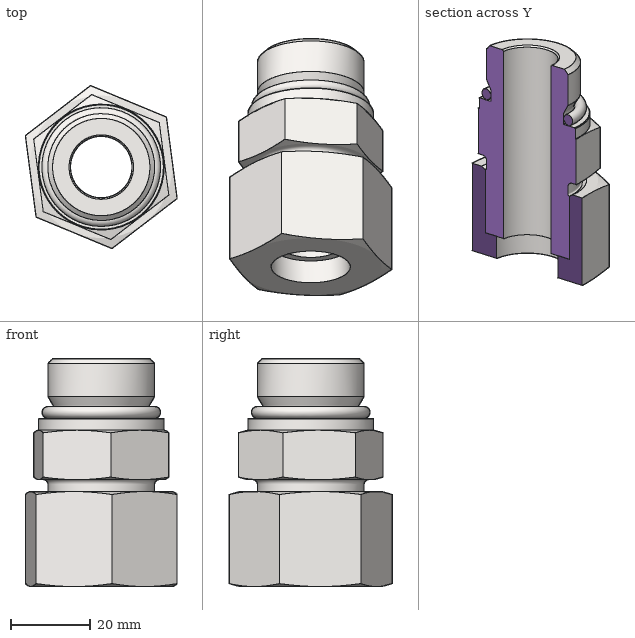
import cadquery as cq
import math

nut_height = 24.0
body_hex_bottom = 27.0
body_hex_top = 39.5
collar_top = 42.5
total_height = 57.6

nut_across_flats = 36.0
body_across_flats = 32.0
hex_corner_angle = 37.5
hex_chamfer_angle = 15.0

stud_diameter = 27.0
stud_chamfer = 1.2
stud_length = 9.6
groove_diameter = 24.0
groove_fillet = 1.0
runout_angle = 30.0
collar_diameter = 31.8
collar_chamfer = 0.2

neck_diameter = 27.0
neck_fillet = 1.2
bore_diameter = 15.5
bore_chamfer = 0.4

o_ring_section = 3.0
o_ring_inner_diameter = groove_diameter

thread_diameter = 27.84
nut_mouth_diameter = 30.0
nut_mouth_angle = 30.0
nut_mouth_depth = (nut_mouth_diameter - thread_diameter) / 2 * math.tan(math.radians(nut_mouth_angle))
thread_top = nut_height - nut_mouth_depth

nut_floor = 6.0
tube_diameter = 20.0

selection_margin = 0.1


def chamfered_hex(across_flats, bottom, top):
    """Hexagonal prism whose corners are turned off by a shallow cone at both ends."""
    corner_radius = across_flats / 2 / math.cos(math.pi / 6)
    flat_radius = across_flats / 2
    drop = (corner_radius - flat_radius) * math.tan(math.radians(hex_chamfer_angle))
    prism = (
        cq.Workplane("XY", origin=(0, 0, bottom))
        .polygon(6, 2 * corner_radius)
        .extrude(top - bottom)
        .rotate((0, 0, 0), (0, 0, 1), hex_corner_angle)
    )
    envelope = (
        cq.Workplane("XZ")
        .moveTo(0, bottom)
        .lineTo(flat_radius, bottom)
        .lineTo(corner_radius, bottom + drop)
        .lineTo(corner_radius, top - drop)
        .lineTo(flat_radius, top)
        .lineTo(0, top)
        .close()
        .revolve(360, (0, 0, 0), (0, 1, 0))
    )
    return prism.intersect(envelope)


def make_body():
    """Hexagonal body with a grooved stud and collar above, a neck and a thread below."""
    stud_radius = stud_diameter / 2
    groove_radius = groove_diameter / 2
    collar_radius = collar_diameter / 2
    neck_radius = neck_diameter / 2
    stud_bottom = total_height - stud_length
    runout = (stud_radius - groove_radius) / math.tan(math.radians(runout_angle))
    groove_top = stud_bottom - runout
    thread_radius = thread_diameter / 2
    neck_flare = thread_radius - neck_radius
    neck_bottom = thread_top + neck_flare
    turned = (
        cq.Workplane("XZ")
        .moveTo(0, nut_floor)
        .lineTo(thread_radius, nut_floor)
        .lineTo(thread_radius, thread_top)
        .radiusArc((neck_radius, neck_bottom), neck_flare)
        .lineTo(neck_radius, body_hex_bottom - neck_fillet)
        .radiusArc((neck_radius + neck_fillet, body_hex_bottom), neck_fillet)
        .lineTo(neck_radius + neck_fillet, body_hex_top)
        .lineTo(collar_radius, body_hex_top)
        .lineTo(collar_radius, collar_top - collar_chamfer)
        .lineTo(collar_radius - collar_chamfer, collar_top)
        .lineTo(groove_radius, collar_top)
        .lineTo(groove_radius, groove_top)
        .lineTo(stud_radius, stud_bottom)
        .lineTo(stud_radius, total_height - stud_chamfer)
        .lineTo(stud_radius - stud_chamfer, total_height)
        .lineTo(0, total_height)
        .close()
        .revolve(360, (0, 0, 0), (0, 1, 0))
    )
    at_groove_top = cq.selectors.BoxSelector(
        (-stud_radius, -stud_radius, groove_top - selection_margin),
        (stud_radius, stud_radius, groove_top + selection_margin),
    )
    turned = turned.edges("%CIRCLE").edges(at_groove_top).fillet(groove_fillet)
    solid = turned.union(chamfered_hex(body_across_flats, body_hex_bottom, body_hex_top))
    bore = cq.Workplane("XY").circle(bore_diameter / 2).extrude(total_height)
    solid = solid.cut(bore)
    bore_rim = solid.faces(">Z").edges(cq.selectors.RadiusNthSelector(0))
    return bore_rim.chamfer(bore_chamfer)


def make_o_ring():
    """O-ring in the groove between the collar and the stud."""
    section_radius = o_ring_section / 2
    ring_radius = o_ring_inner_diameter / 2 + section_radius
    return (
        cq.Workplane("XZ")
        .center(ring_radius, collar_top + section_radius)
        .circle(section_radius)
        .revolve(360, (-ring_radius, 0, 0), (-ring_radius, 1, 0))
    )


def make_nut():
    """Union nut with a threaded bore, a conical mouth and a tube hole through its floor."""
    bore = (
        cq.Workplane("XZ")
        .lineTo(tube_diameter / 2, 0)
        .lineTo(tube_diameter / 2, nut_floor)
        .lineTo(thread_diameter / 2, nut_floor)
        .lineTo(thread_diameter / 2, thread_top)
        .lineTo(nut_mouth_diameter / 2, nut_height)
        .lineTo(0, nut_height)
        .close()
        .revolve(360, (0, 0, 0), (0, 1, 0))
    )
    return chamfered_hex(nut_across_flats, 0, nut_height).cut(bore)


body = make_body()
o_ring = make_o_ring()
nut = make_nut()

result = cq.Compound.makeCompound([body.solids().val(), o_ring.solids().val(), nut.solids().val()])